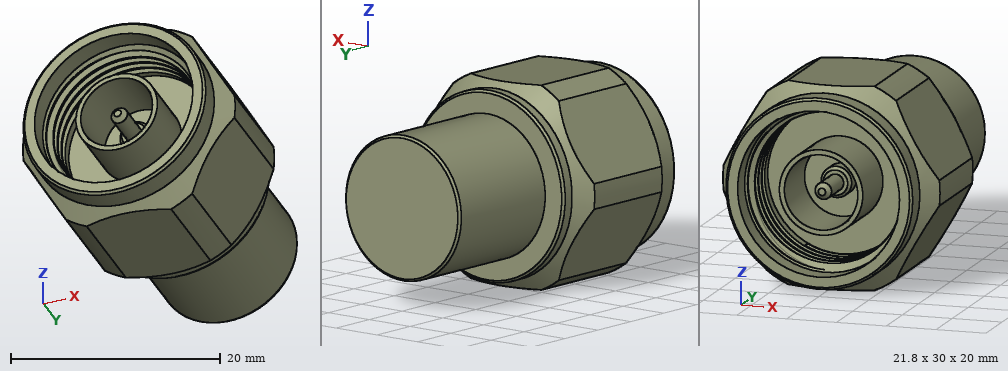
import cadquery as cq

length = 30.0
front_y = -length / 2
back_y = length / 2
edge_chamfer = 0.25

tube_radius = 14.22 / 2

across_flats = 20.0
corner_turn = 30
corner_radius = 21.8 / 2
collar_radius = 18.75 / 2
front_collar_length = 2.45
rear_collar_length = 1.3
nut_back_y = 2.05
hex_front_y = front_y + front_collar_length
hex_back_y = nut_back_y - rear_collar_length
hex_chamfer = corner_radius - collar_radius

socket_radius = 16.25 / 2
socket_depth = 2.15
minor_radius = 7.38
lead_in_length = 0.75
floor_depth = 7.05
floor_y = front_y + floor_depth

pitch = 1.05
major_radius = 7.92
groove_overlap = 0.12
groove_root = 0.2
groove_mouth = 0.93
groove_start_angle = 45
groove_start_depth = 2.13
groove_start_y = front_y + groove_start_depth
groove_end_clearance = 0.5
groove_end_y = floor_y - groove_end_clearance

ferrule_radius = 8.37 / 2
ferrule_bore_radius = 7.38 / 2
ferrule_setback = 0.78
shoulder_radius = 3.05 / 2
shoulder_chamfer = 0.3
shoulder_length = 1.8
pin_radius = 1.65 / 2
pin_tip_radius = 0.35
pin_tip_length = 0.45
pin_setback = 1.05


def cylinder(radius, start_y, end_y):
    """Cylinder on the Y axis between two positions."""
    return cq.Workplane("XZ", origin=(0, start_y, 0)).circle(radius).extrude(start_y - end_y)


def revolve_profile(points):
    """Revolve a closed outline of (radius, y) points around the Y axis."""
    return cq.Workplane("XY").polyline(points).close().revolve(360, (0, 0, 0), (0, 1, 0))


def make_nut():
    """Hexagon with turned corners between two round collars."""
    hex_length = hex_back_y - hex_front_y
    hexagon = (
        cq.Workplane("XZ", origin=(0, hex_front_y, 0))
        .polygon(6, across_flats, circumscribed=True)
        .extrude(-hex_length)
        .rotate((0, 0, 0), (0, 1, 0), corner_turn)
    )
    turned_blank = cylinder(corner_radius, hex_front_y, hex_back_y).edges().chamfer(hex_chamfer)
    collars = cylinder(collar_radius, front_y, nut_back_y).edges().chamfer(edge_chamfer)
    return hexagon.intersect(turned_blank).union(collars)


def make_socket():
    """Plain entry bore with a conical lead-in down to the thread's minor diameter."""
    lead_in_y = front_y + socket_depth
    return revolve_profile([
        (0, front_y),
        (socket_radius, front_y),
        (socket_radius, lead_in_y),
        (minor_radius, lead_in_y + lead_in_length),
        (minor_radius, floor_y),
        (0, floor_y),
    ])


def make_thread_groove():
    """Right-hand V groove between the lead-in and the socket floor."""
    inner_radius = minor_radius - groove_overlap
    path = cq.Wire.makeHelix(pitch, groove_end_y - groove_start_y, minor_radius)
    groove = (
        cq.Workplane("XZ")
        .polyline([
            (inner_radius, -groove_mouth / 2),
            (major_radius, -groove_root / 2),
            (major_radius, groove_root / 2),
            (inner_radius, groove_mouth / 2),
        ])
        .close()
        .sweep(path, isFrenet=True)
    )
    groove = groove.rotate((0, 0, 0), (0, 0, 1), groove_start_angle)
    groove = groove.rotate((0, 0, 0), (1, 0, 0), -90)
    return groove.translate((0, groove_start_y, 0))


def make_ferrule():
    """Thin round wall standing on the socket floor."""
    ferrule_y = front_y + ferrule_setback
    wall = cylinder(ferrule_radius, ferrule_y, floor_y)
    return wall.cut(cylinder(ferrule_bore_radius, ferrule_y, floor_y))


def make_pin():
    """Stepped centre contact with a chamfered shoulder and a tapered tip."""
    tip_y = front_y + pin_setback
    shoulder_y = floor_y - shoulder_length
    return revolve_profile([
        (0, tip_y),
        (pin_tip_radius, tip_y),
        (pin_radius, tip_y + pin_tip_length),
        (pin_radius, shoulder_y),
        (shoulder_radius - shoulder_chamfer, shoulder_y),
        (shoulder_radius, shoulder_y + shoulder_chamfer),
        (shoulder_radius, floor_y),
        (0, floor_y),
    ])


tube = cylinder(tube_radius, floor_y, back_y).faces(">Y").edges().chamfer(edge_chamfer)
shell = make_nut().union(tube).cut(make_socket()).cut(make_thread_groove())
result = shell.union(make_ferrule()).union(make_pin())